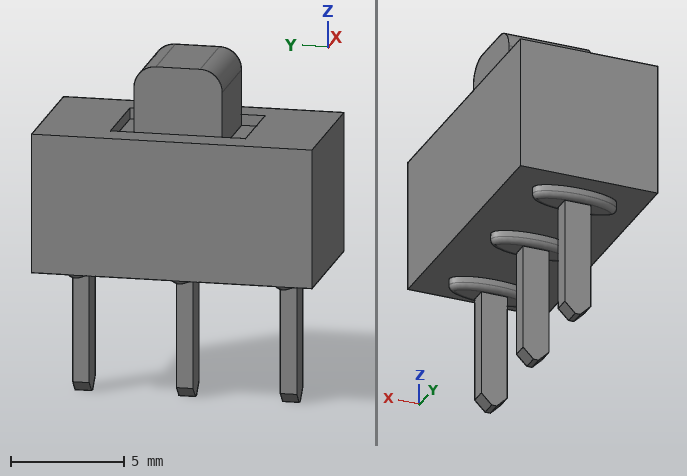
import cadquery as cq


body_x = 6.6
body_y = 12.7
body_z = 6.35

knob_x = 4.0
knob_y = 4.0
knob_rise = 3.05
knob_radius = 1.0
window_y = 6.12
window_depth = 0.5

pin_count = 3
pin_pitch = 4.7
pin_x = 1.25
pin_y = 0.75
pin_length = 6.11
tip_chamfer = 0.5

standoff_x = 4.0
standoff_y = 1.42
standoff_height = 0.55
standoff_fillet = 0.25


def make_housing():
    """Plain box with the rectangular window sunk into its top face."""
    box = cq.Workplane("XY").box(body_x, body_y, body_z, centered=(True, True, False))
    return box.faces(">Z").workplane().rect(knob_x, window_y).cutBlind(-window_depth)


def make_knob():
    """Knob standing on the window floor, its top rounded along X."""
    knob = (
        cq.Workplane("XY", origin=(0, 0, body_z - window_depth))
        .box(knob_x, knob_y, knob_rise + window_depth, centered=(True, True, False))
    )
    return knob.edges("|X and >Z").fillet(knob_radius)


def make_standoff(y):
    """Elliptical pad below the housing with a rounded lower rim."""
    pad = (
        cq.Workplane("XY", origin=(0, y, 0))
        .ellipse(standoff_x / 2, standoff_y / 2)
        .extrude(-standoff_height)
    )
    return pad.faces("<Z").edges().fillet(standoff_fillet)


def make_pin(y):
    """Flat terminal hanging from the housing, its tip chamfered across X."""
    pin = (
        cq.Workplane("XY", origin=(0, y, -pin_length))
        .box(pin_x, pin_y, pin_length, centered=(True, True, False))
    )
    return pin.edges("|Y and <Z").chamfer(tip_chamfer)


result = make_housing().union(make_knob())
for index in range(pin_count):
    pin_position = (index - (pin_count - 1) / 2) * pin_pitch
    result = result.union(make_standoff(pin_position))
    result = result.union(make_pin(pin_position))